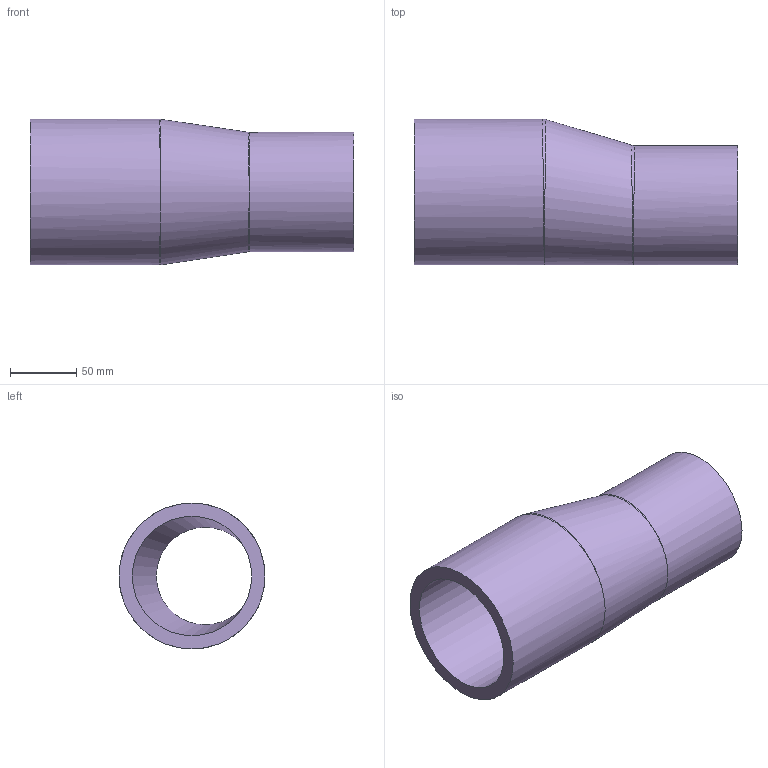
import cadquery as cq

large_diameter = 110.0
large_bore = 90.0
large_length = 98.0

small_diameter = 90.0
small_bore = 73.6
small_length = 79.0

total_length = 244.0
cone_length = total_length - large_length - small_length
flush_gap = 0.02
offset_y = -(large_diameter - small_diameter) / 2 + flush_gap

blend_radius = (small_diameter - small_bore) / 2


def stepped_body(start_diameter, end_diameter):
    """Cylinder, oblique cone and offset cylinder joined end to end along X."""
    cone_end = large_length + cone_length

    large_part = cq.Workplane("YZ").circle(start_diameter / 2).extrude(large_length)
    cone = (
        cq.Workplane("YZ", origin=(large_length, 0, 0))
        .circle(start_diameter / 2)
        .workplane(offset=cone_length)
        .center(offset_y, 0)
        .circle(end_diameter / 2)
        .loft(ruled=True)
    )
    small_part = (
        cq.Workplane("YZ", origin=(cone_end, offset_y, 0))
        .circle(end_diameter / 2)
        .extrude(small_length)
    )
    return large_part.union(cone).union(small_part)


def blend_cone_ends(body):
    """Round the two circular edges at the ends of the cone."""
    cone_edges = cq.selectors.BoxSelector(
        (large_length / 2, -large_diameter, -large_diameter),
        (total_length - small_length / 2, large_diameter, large_diameter),
    )
    return body.edges("%CIRCLE").edges(cone_edges).fillet(blend_radius)


outside = blend_cone_ends(stepped_body(large_diameter, small_diameter))
result = outside.cut(stepped_body(large_bore, small_bore))